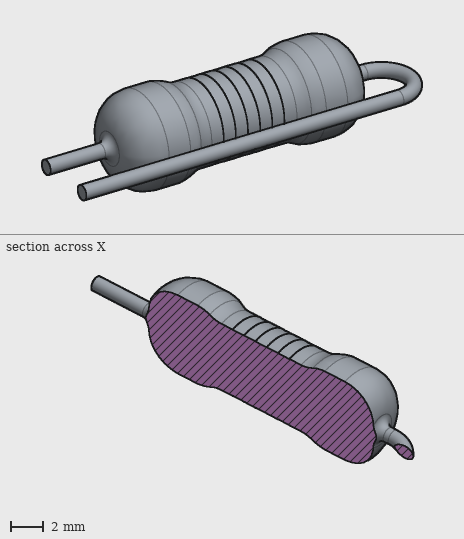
import cadquery as cq

overall_length = 25.6
overall_width = 7.75
lead_diameter = 1.0
cap_diameter = 6.5
band_diameter = 5.55
core_diameter = 5.53

body_middle = 13.35
body_length = 17.5
cap_round_length = 2.25
neck_fillet = 0.61
band_count = 7
band_zone_length = 6.2
shoulder_length = 1.85

lead_radius = lead_diameter / 2
cap_radius = cap_diameter / 2
band_radius = band_diameter / 2
core_radius = core_diameter / 2
lead_pitch = overall_width - cap_radius - lead_radius
bend_radius = lead_pitch / 2
bend_start = overall_length - lead_radius - bend_radius
band_length = band_zone_length / band_count


def make_end_profile():
    """Half section of one body end: outermost band, shoulder, rounded cap and flared neck."""
    band_end = band_zone_length / 2
    shoulder_end = band_end + shoulder_length
    shoulder_middle = (band_end + shoulder_end) / 2
    half_body = body_length / 2
    neck_end = half_body + neck_fillet
    return (
        cq.Workplane("XY")
        .moveTo(0, band_end - band_length)
        .lineTo(band_radius, band_end - band_length)
        .lineTo(band_radius, band_end)
        .tangentArcPoint(((band_radius + cap_radius) / 2, shoulder_middle), relative=False)
        .tangentArcPoint((cap_radius, shoulder_end), relative=False)
        .lineTo(cap_radius, half_body - cap_round_length)
        .tangentArcPoint((lead_radius + neck_fillet, half_body), relative=False)
        .radiusArc((lead_radius, neck_end), neck_fillet)
        .lineTo(0, neck_end)
        .close()
    )


def make_body():
    upper_end = make_end_profile().revolve(360, (0, 0), (0, 1))
    body = upper_end.union(upper_end.mirror("XZ"))
    for index in range(1, band_count - 1):
        radius = band_radius if index % 2 == 0 else core_radius
        band_start = -band_zone_length / 2 + index * band_length
        band = cq.Workplane("XZ", origin=(0, band_start, 0)).circle(radius).extrude(-band_length)
        body = body.union(band)
    return body.translate((0, body_middle, 0))


def make_straight_lead(x, start, end):
    return cq.Workplane("XZ", origin=(x, start, 0)).circle(lead_radius).extrude(start - end)


def make_bend():
    """Half turn joining the body's upper lead to the returning lead."""
    return (
        cq.Workplane("XZ", origin=(0, bend_start, 0))
        .circle(lead_radius)
        .revolve(180, (bend_radius, 0), (bend_radius, -1))
    )


lower_lead = make_straight_lead(0, 0, body_middle)
upper_lead = make_straight_lead(0, body_middle, bend_start)
return_lead = make_straight_lead(lead_pitch, 0, bend_start)

result = make_body().union(lower_lead).union(upper_lead).union(make_bend()).union(return_lead)